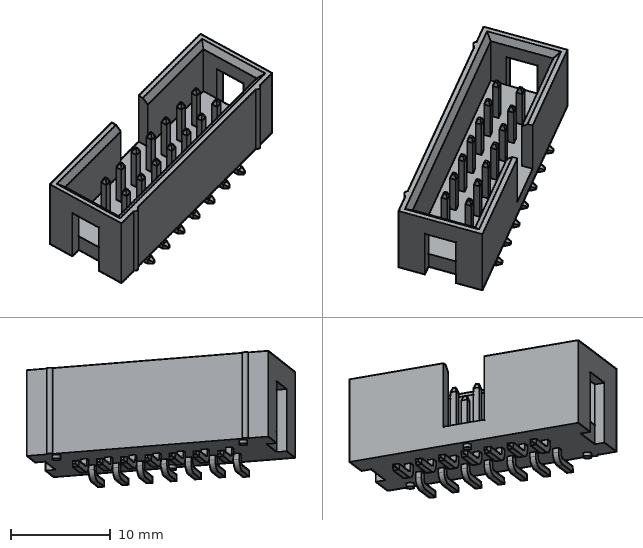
import cadquery as cq

length = 25.4
width = 8.95
height = 8.9
floor_height = 2.05
side_wall = 1.15
end_wall = 1.07
rim_bevel = 0.6

notch_width = 4.52
end_slot_width = 3.3
end_slot_top = 6.43

rib_diameter = 0.7
rib_projection = 0.23
rib_offset = 10.29

peg_diameter = 0.85
peg_height = 0.38
peg_x = 3.68
end_peg_y = 9.83

pin_count = 7
pitch = 2.55
pin_size = 0.64
pin_top = 7.37
pin_foot_reach = 4.75
foot_bottom = -1.47
bend_inner_radius = 0.38
tip_length = 0.5
tip_size = 0.25
end_pin_drop = 0.15

pocket_width = width - 2 * side_wall
pocket_length = length - 2 * end_wall


def make_housing():
    """Open-topped box with a bevelled rim, a keying notch and two end slots."""
    wall_height = height - floor_height
    body = cq.Workplane("XY").box(width, length, height, centered=(True, True, False))

    pocket = (
        cq.Workplane("XY", origin=(0, 0, floor_height))
        .box(pocket_width, pocket_length, wall_height, centered=(True, True, False))
    )
    bevel = (
        cq.Workplane("XY", origin=(0, 0, height - rim_bevel))
        .rect(pocket_width, pocket_length)
        .workplane(offset=rim_bevel)
        .rect(pocket_width + 2 * rim_bevel, pocket_length + 2 * rim_bevel)
        .loft(ruled=True)
    )
    notch = (
        cq.Workplane("XY", origin=(-width / 2, 0, floor_height))
        .box(2 * side_wall, notch_width, wall_height, centered=(True, True, False))
    )
    body = body.cut(pocket).cut(bevel).cut(notch)

    for side in (-1, 1):
        slot = (
            cq.Workplane("XY", origin=(0, side * (length - end_wall) / 2, 0))
            .box(end_slot_width, end_wall, end_slot_top, centered=(True, True, False))
        )
        body = body.cut(slot)
    return body


def make_ribs():
    """Full-height round ribs, sunk partly into the +X wall."""
    rib_x = width / 2 + rib_projection - rib_diameter / 2
    return (
        cq.Workplane("XY")
        .pushPoints([(rib_x, -rib_offset), (rib_x, rib_offset)])
        .circle(rib_diameter / 2)
        .extrude(height)
    )


def make_pegs():
    """Three standoffs: one at mid-length on -X, two near the ends on +X."""
    return (
        cq.Workplane("XY")
        .pushPoints([(-peg_x, 0), (peg_x, -end_peg_y), (peg_x, end_peg_y)])
        .circle(peg_diameter / 2)
        .extrude(-peg_height)
    )


def make_tip(plane):
    """Truncated pyramid that tapers a pin end along the plane's normal."""
    return (
        cq.Workplane(plane)
        .rect(pin_size, pin_size)
        .workplane(offset=tip_length)
        .rect(tip_size, tip_size)
        .loft(ruled=True)
    )


def make_pin():
    """Square pin of the +X row at Y = 0, with its foot bent towards +X."""
    pin_x = pitch / 2
    foot_z = foot_bottom + pin_size / 2
    bend_radius = bend_inner_radius + pin_size / 2
    shoulder_z = pin_top - tip_length
    shoulder_x = pin_foot_reach - tip_length

    path = (
        cq.Workplane("XZ")
        .moveTo(pin_x, shoulder_z)
        .lineTo(pin_x, foot_z + bend_radius)
        .tangentArcPoint((pin_x + bend_radius, foot_z), relative=False)
        .lineTo(shoulder_x, foot_z)
    )
    shaft = (
        cq.Workplane("XY", origin=(pin_x, 0, shoulder_z))
        .rect(pin_size, pin_size)
        .sweep(path)
    )
    top_tip = make_tip(cq.Plane((pin_x, 0, shoulder_z), (1, 0, 0), (0, 0, 1)))
    foot_tip = make_tip(cq.Plane((shoulder_x, 0, foot_z), (0, 1, 0), (1, 0, 0)))
    return shaft.union(top_tip).union(foot_tip)


result = make_housing().union(make_ribs()).union(make_pegs())

right_pin = make_pin()
left_pin = right_pin.mirror("YZ")
for index in range(pin_count):
    pin_y = (index - (pin_count - 1) / 2) * pitch
    drop = end_pin_drop if index == pin_count - 1 else 0
    for pin in (left_pin, right_pin):
        result = result.union(pin.translate((0, pin_y, -drop)))